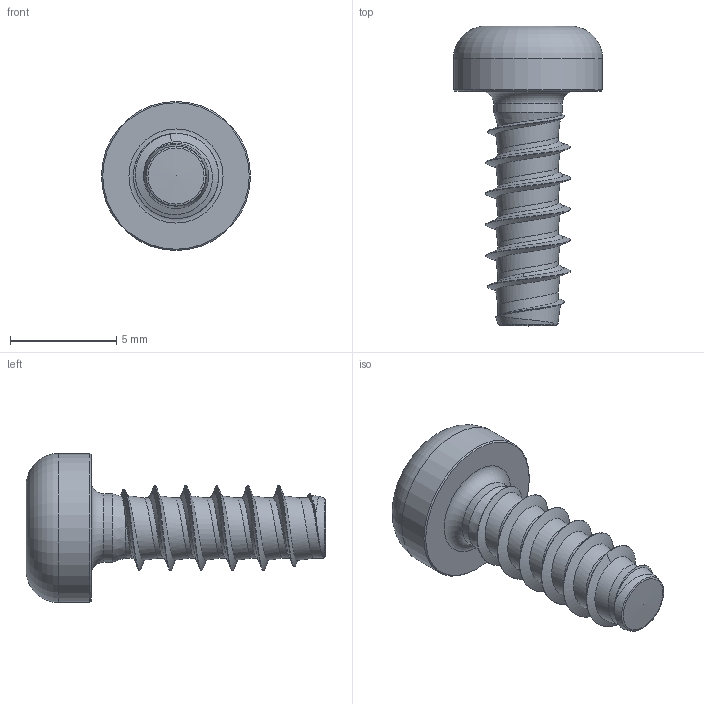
import cadquery as cq
import math


head_radius = 3.5
head_height = 3.06
head_round = 1.53
head_edge_chamfer = 0.06

neck_radius = 1.61
neck_fillet = 0.6
neck_end = 1.0
neck_taper_end = 1.6

core_radius = 1.415
shank_length = 11.0
tip_radius = 1.4
tip_face_radius = 1.32
tip_edge_length = 0.03
tip_cone_height = 0.03
tip_taper_slope = 0.33

pitch = 1.457
crest_on_x = 2.626
crest_radius = 2.0
crest_width = 0.02
kink_radius = 1.65
kink_offset = -0.13
toe_offset = -0.44
tip_flank_offset = 0.31
root_radius = 1.2

ramp_top_radius = 1.54
ramp_root_offset = -0.15
ramp_end_radius = 1.405
ramp_end_offset = 1.0
ramp_turns = 8
ramp_start = crest_on_x - 2 * pitch

thread_start = 0.6
full_thread_start = 2.3
full_thread_end = 8.85
thread_end = 10.8
start_sink = 0.41
end_sink = 0.53

rod_overrun = 3.0
crest_clearance = 0.1
helix_points_per_turn = 16


def make_head():
    head = cq.Workplane("XY").circle(head_radius).extrude(-head_height)
    head = head.faces("<Z").edges().fillet(head_round)
    return head.faces(">Z").edges().chamfer(head_edge_chamfer)


def revolve_about_axis(profile):
    return profile.close().revolve(360, (0, 0, 0), (0, 1, 0))


def make_neck():
    """Fillet under the head, straight neck and taper down to the core."""
    overlap = head_height / 2
    profile = (
        cq.Workplane("XZ")
        .moveTo(0, -overlap)
        .lineTo(neck_radius + neck_fillet, -overlap)
        .lineTo(neck_radius + neck_fillet, 0)
        .radiusArc((neck_radius, neck_fillet), neck_fillet)
        .lineTo(neck_radius, neck_end)
        .lineTo(core_radius, neck_taper_end)
        .lineTo(0, neck_taper_end)
    )
    return revolve_about_axis(profile)


def make_core():
    """Plain cylinder, longer than the finished shank at both ends."""
    core = cq.Workplane("XY").workplane(offset=-rod_overrun).circle(core_radius)
    return core.extrude(shank_length + 2 * rod_overrun)


def make_relief_ramp():
    """Low wedge swept along a right-hand helix over the whole shank."""
    helix = cq.Wire.makeHelix(pitch, ramp_turns * pitch, core_radius)
    section = [
        (root_radius, ramp_root_offset),
        (ramp_top_radius, 0),
        (ramp_end_radius, ramp_end_offset),
        (root_radius, ramp_end_offset),
    ]
    ramp = cq.Workplane("XZ").polyline(section).close().sweep(cq.Workplane(helix), isFrenet=True)
    return ramp.translate((0, 0, ramp_start))


def make_tooth(start, end, sink_at_start, sink_at_end):
    """Sharp tooth whose crest runs from start to end, sinking evenly between two depths."""
    section = [
        (root_radius, toe_offset),
        (kink_radius, kink_offset),
        (crest_radius, -crest_width / 2),
        (crest_radius, crest_width / 2),
        (root_radius, tip_flank_offset),
    ]

    def point_at(fraction, corner):
        radius, offset = corner
        crest_z = start + fraction * (end - start)
        angle = 2 * math.pi * (crest_z - crest_on_x) / pitch
        radius = radius - sink_at_start - fraction * (sink_at_end - sink_at_start)
        return cq.Vector(radius * math.cos(angle), radius * math.sin(angle), crest_z + offset)

    steps = math.ceil((end - start) / pitch * helix_points_per_turn)
    edges = []
    for corner in section:
        edges.append(cq.Edge.makeSpline([point_at(i / steps, corner) for i in range(steps + 1)]))

    faces = []
    for index, edge in enumerate(edges):
        faces.append(cq.Face.makeRuledSurface(edge, edges[(index + 1) % len(edges)]))
    for fraction in (0, 1):
        outline = cq.Wire.makePolygon([point_at(fraction, corner) for corner in section], close=True)
        faces.append(cq.Face.makeFromWires(outline))
    return cq.Workplane(cq.Solid.makeSolid(cq.Shell.makeShell(faces)))


def make_shank_envelope():
    """Space the threaded shank may fill: clear of the crest, then tapered to the tip."""
    clear_radius = crest_radius + crest_clearance
    tip_edge_start = shank_length - tip_edge_length
    taper_length = (clear_radius - tip_radius) / tip_taper_slope
    profile = (
        cq.Workplane("XZ")
        .moveTo(0, neck_end)
        .lineTo(clear_radius, neck_end)
        .lineTo(clear_radius, tip_edge_start - taper_length)
        .lineTo(tip_radius, tip_edge_start)
        .lineTo(tip_face_radius, shank_length)
        .lineTo(0, shank_length + tip_cone_height)
    )
    return revolve_about_axis(profile)


rod = make_core().union(make_relief_ramp())
rod = rod.union(make_tooth(full_thread_start, full_thread_end, 0, 0))
rod = rod.union(make_tooth(thread_start, full_thread_start, start_sink, 0))
rod = rod.union(make_tooth(full_thread_end, thread_end, 0, end_sink))
shank = rod.intersect(make_shank_envelope())
screw = shank.union(make_neck()).union(make_head())
result = screw.rotate((0, 0, 0), (1, 0, 0), 90)